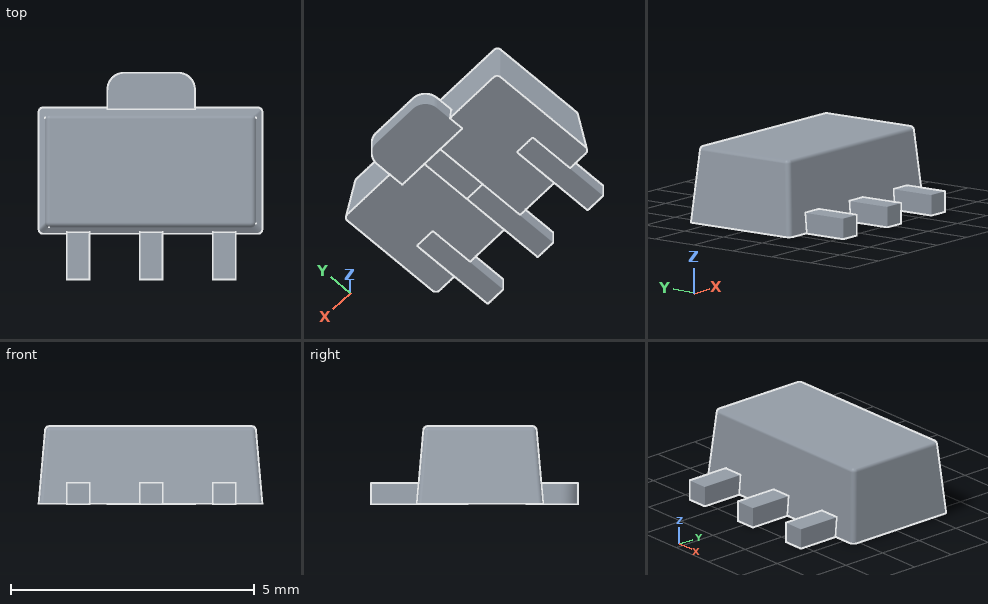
import cadquery as cq

HOUSING_LENGTH = 4.6
HOUSING_DEPTH = 2.6
HOUSING_TOP = 1.61
DRAFT_ANGLE = 5.0
HOUSING_FILLET = 0.1
STANDOFF = 0.01

METAL_THICKNESS = 0.44
EDGE_ROUNDING = 0.01
FRAME_OFFSET_X = 0.015
LEAD_WIDTH = 0.475
LEAD_PITCH = 1.5
LEAD_REACH = 0.94
LEAD_LENGTH = 1.99
TAB_WIDTH = 1.805
TAB_REACH = 0.715
TAB_LENGTH = 1.063
TAB_CORNER_RADIUS = 0.35

LEAD_FRONT = -HOUSING_DEPTH / 2 - LEAD_REACH
LEAD_BACK = LEAD_FRONT + LEAD_LENGTH
TAB_BACK = HOUSING_DEPTH / 2 + TAB_REACH
TAB_FRONT = TAB_BACK - TAB_LENGTH


def make_bar(x_middle, width, y_front, y_back, z_bottom):
    """Rectangular bar that ends at the top of the metal."""
    length = y_back - y_front
    height = METAL_THICKNESS - z_bottom
    bar = cq.Workplane("XY").box(width, length, height, centered=(True, False, False))
    return bar.translate((x_middle, y_front, z_bottom))


def make_lead(x_middle):
    """Straight lead with rounded edges and its inner end buried in the housing."""
    lead = make_bar(x_middle, LEAD_WIDTH, LEAD_FRONT, LEAD_BACK, 0)
    return lead.edges().fillet(EDGE_ROUNDING)


def make_tab_lead():
    """Middle lead joined to the heat tab by a bridge whose underside is level with the housing's."""
    tab = make_bar(FRAME_OFFSET_X, TAB_WIDTH, TAB_FRONT, TAB_BACK, 0)
    tab = tab.edges("|Z and >Y").fillet(TAB_CORNER_RADIUS)
    tab = tab.edges("<Z or >Z or (|Z and <Y)").fillet(EDGE_ROUNDING)
    bridge_front = LEAD_BACK - EDGE_ROUNDING
    bridge_back = TAB_FRONT + EDGE_ROUNDING
    bridge = make_bar(FRAME_OFFSET_X, LEAD_WIDTH, bridge_front, bridge_back, STANDOFF)
    return make_lead(FRAME_OFFSET_X).union(bridge).union(tab)


def make_housing(metal_parts):
    """Drafted, rounded block with a matching recess for each metal part."""
    block = (
        cq.Workplane("XY")
        .workplane(offset=STANDOFF)
        .rect(HOUSING_LENGTH, HOUSING_DEPTH)
        .extrude(HOUSING_TOP - STANDOFF, taper=DRAFT_ANGLE)
    )
    block = block.edges("not <Z").fillet(HOUSING_FILLET)
    for metal_part in metal_parts:
        block = block.cut(metal_part)
    return block


side_leads = [make_lead(FRAME_OFFSET_X + side * LEAD_PITCH) for side in (-1, 1)]
tab_lead = make_tab_lead()
housing = make_housing([*side_leads, tab_lead])

result = cq.Compound.makeCompound(
    [housing.val(), tab_lead.val(), *[lead.val() for lead in side_leads]]
)